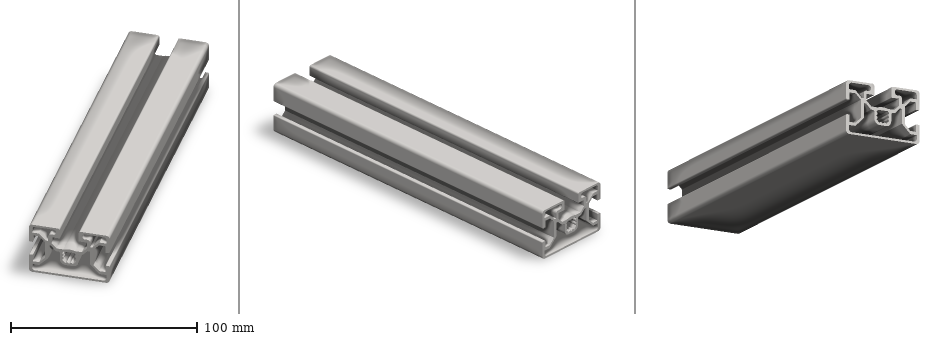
import cadquery as cq
import math


length = 200.0
width = 45.0
height = 30.0
half_width = width / 2
half_height = height / 2
corner_radius = 2.0

skin = 1.2
side_wall = 1.8
slot_wall = 1.8
strut = 1.2
floor_strut = 1.5
web_root = 1.5
cavity_radius = 1.5
cavity_end_radius = 1.5

side_lip = 2.2
side_mouth = 8.2
side_chamber = 16.5
side_depth = 9.0
side_bevel = 3.2
lip_tip_radius = 0.5

top_mouth = 10.5
top_chamber = 19.8
top_lip = 6.2
top_depth = 12.8
top_bevel = 2.8
top_lip_radius = 1.0
top_lip_wall = 2.0

crest_width = 6.5
crest_height = 0.5

boss_z = -2.5
boss_width = 10.2
boss_radius = 3.0
boss_root_radius = 1.0
bore_width = 6.5
bore_corner = 1.8
groove_depth = 0.5
groove_width = 1.5
bore_roof = 6.0

side_back_x = half_width - side_depth
upright_x = side_back_x - slot_wall
side_shelf_z = side_chamber / 2 + slot_wall
inner_x = half_width - side_wall
roof_z = half_height - skin
floor_z = half_height - top_depth
floor_under_z = floor_z - slot_wall
side_slope = side_chamber / 2 - side_back_x - side_bevel + strut * math.sqrt(2)
floor_slope = floor_z + top_bevel - top_chamber / 2 - floor_strut * math.sqrt(2)


def prism(points):
    """Full-length bar with the given XZ outline."""
    return cq.Workplane("XZ").polyline(points).close().extrude(length / 2, both=True)


def bar(x, z, size_x, size_z):
    """Full-length rectangular bar centred on (x, z)."""
    return cq.Workplane("XY").box(size_x, length, size_z).translate((x, 0, z))


def round_edges(body, corners, radius):
    """Fillet the lengthwise edges that run through the given XZ corners."""
    for x, z in corners:
        edge = cq.selectors.NearestToPointSelector((x, 0, z))
        body = body.edges(edge).fillet(radius)
    return body


def mirrored(points):
    """Closed outline made of a right-hand half and its mirror image."""
    return points + [(-x, z) for x, z in reversed(points)]


def both_sides(body):
    """The body together with its mirror image on the -X side."""
    return body.union(body.mirror("YZ"))


def side_slot():
    lip_x = half_width - side_lip
    upper = [
        (half_width, side_mouth / 2),
        (lip_x, side_mouth / 2),
        (lip_x, side_chamber / 2),
        (side_back_x + side_bevel, side_chamber / 2),
        (side_back_x, side_chamber / 2 - side_bevel),
    ]
    return prism(upper + [(x, -z) for x, z in reversed(upper)])


def top_slot():
    lip_z = half_height - top_lip
    half = [
        (top_mouth / 2, half_height),
        (top_mouth / 2, lip_z),
        (top_chamber / 2, lip_z),
        (top_chamber / 2, floor_z + top_bevel),
        (top_chamber / 2 - top_bevel, floor_z),
    ]
    return prism(mirrored(half))


def crest():
    return (
        cq.Workplane("XZ")
        .moveTo(-crest_width / 2, floor_z)
        .threePointArc((0, floor_z + crest_height), (crest_width / 2, floor_z))
        .close()
        .extrude(length / 2, both=True)
    )


def upper_cavity():
    """Closed cavity between the top wall, the side slot and the top slot."""
    end_x = top_mouth / 2 + top_lip_wall
    shelf_z = half_height - top_lip + slot_wall
    web_x = top_chamber / 2 + slot_wall
    bottom_z = floor_z + top_bevel + strut
    cavity = prism([
        (inner_x, roof_z),
        (end_x, roof_z),
        (end_x, shelf_z),
        (web_x, shelf_z),
        (web_x, bottom_z),
        (bottom_z - side_slope, bottom_z),
        (side_shelf_z - side_slope, side_shelf_z),
        (inner_x, side_shelf_z),
    ])
    cavity = round_edges(cavity, [(end_x, roof_z), (end_x, shelf_z)], cavity_end_radius)
    return round_edges(cavity, [(inner_x, roof_z), (web_x, shelf_z)], cavity_radius)


def lower_cavity():
    """Large cavity from the bottom wall up to the underside of the top slot floor."""
    base_z = skin - half_height
    peak_z = floor_z + top_bevel - web_root
    half = [
        (inner_x, base_z),
        (inner_x, -side_shelf_z),
        (side_shelf_z - side_slope, -side_shelf_z),
        (upright_x, -upright_x - side_slope),
        (upright_x, peak_z),
        (peak_z - floor_slope, peak_z),
        (floor_under_z - floor_slope, floor_under_z),
    ]
    cavity = prism(mirrored(half))
    return round_edges(cavity, [(inner_x, base_z), (-inner_x, base_z)], cavity_radius)


def boss():
    """Screw boss hanging from the top slot floor, rounded along its lower corners."""
    bottom_z = boss_z - boss_width / 2
    top_z = (floor_z + floor_under_z) / 2
    body = bar(0, (bottom_z + top_z) / 2, boss_width, top_z - bottom_z)
    return round_edges(body, [(-boss_width / 2, bottom_z), (boss_width / 2, bottom_z)], boss_radius)


def bore():
    """Square bore with cut corners and a small V-groove in each side but the roof."""
    face = bore_width / 2
    groove = face + groove_depth
    mouth = groove_width / 2
    cut_start = groove - bore_corner
    half = [
        (bore_roof / 2, face),
        (groove, cut_start),
        (face, cut_start - groove_depth),
        (face, mouth),
        (groove, 0),
        (face, -mouth),
        (face, groove_depth - cut_start),
        (groove, -cut_start),
        (cut_start, -groove),
        (cut_start - groove_depth, -face),
        (mouth, -face),
        (0, -groove),
    ]
    left = [(-x, z) for x, z in reversed(half[:-1])]
    return prism(half + left).translate((0, 0, boss_z))


profile = bar(0, 0, width, height).edges("|Y").fillet(corner_radius)
profile = profile.cut(both_sides(side_slot())).cut(top_slot())
profile = profile.cut(both_sides(upper_cavity())).cut(lower_cavity())
profile = profile.union(boss()).union(crest()).cut(bore())

for side in (-1, 1):
    lip_tips = [(side * half_width, level * side_mouth / 2) for level in (-1, 1)]
    profile = round_edges(profile, lip_tips, lip_tip_radius)
    profile = round_edges(profile, [(side * top_mouth / 2, half_height)], top_lip_radius)
    profile = round_edges(profile, [(side * boss_width / 2, floor_under_z)], boss_root_radius)

result = profile